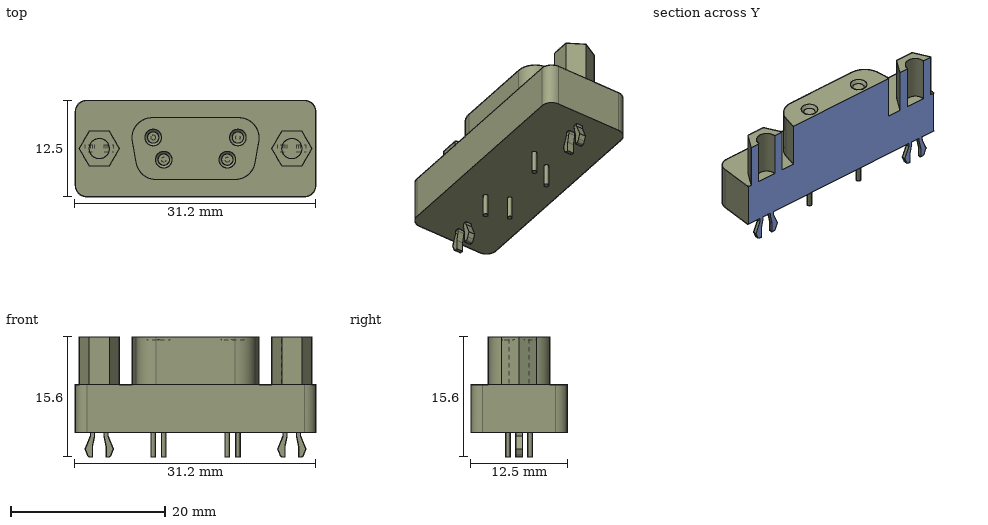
import cadquery as cq
import math

length = 31.2
width = 12.5
flange_height = 6.25
flange_corner_radius = 1.5

shell_height = 6.18
shell_width = 16.47
shell_depth = 8.02
shell_corner_radius = 2.62
shell_side_angle = 10.0
top_z = flange_height + shell_height

rear_contact_x = 5.5
front_contact_x = 4.12
contact_row_y = 1.45
socket_mouth_diameter = 2.15
socket_diameter = 1.47
socket_depth = 0.4
pin_diameter = 0.62
leg_length = 3.18

standoff_x = 12.48
hex_across_corners = 5.2
standoff_bore_diameter = 2.62

clip_thickness = 0.9
prong_root_inner = 0.6
prong_root_outer = 1.15
prong_root_length = 0.45
prong_tip_inner = 0.87
prong_inner_bend_depth = 1.78
barb_reach = 1.85
barb_depth = 2.12
nose_start_reach = 1.55
nose_start_depth = 2.8
nose_bulge_reach = 1.45
nose_bulge_depth = 3.05
nose_end_reach = 1.2

contact_points = [
    (side * x, y)
    for x, y in ((rear_contact_x, contact_row_y), (front_contact_x, -contact_row_y))
    for side in (-1, 1)
]
standoff_points = [(-standoff_x, 0), (standoff_x, 0)]


def make_flange():
    block = cq.Workplane("XY").box(length, width, flange_height, centered=(True, True, False))
    return block.edges("|Z").fillet(flange_corner_radius)


def make_shell():
    angle = math.radians(shell_side_angle)
    rear_y = shell_depth / 2
    rear_centre_x = shell_width / 2 - shell_corner_radius
    rear_centre_y = rear_y - shell_corner_radius
    side_x = rear_centre_x + shell_corner_radius / math.cos(angle)
    rear_x = side_x + (rear_y - rear_centre_y) * math.tan(angle)
    front_x = side_x - (rear_y + rear_centre_y) * math.tan(angle)
    outline = [(-rear_x, rear_y), (rear_x, rear_y), (front_x, -rear_y), (-front_x, -rear_y)]
    shell = cq.Workplane("XY", origin=(0, 0, flange_height)).polyline(outline).close()
    return shell.extrude(shell_height).edges("|Z").fillet(shell_corner_radius)


def make_socket(x, y):
    mouth = cq.Workplane("XY", origin=(x, y, top_z)).circle(socket_mouth_diameter / 2)
    return mouth.workplane(offset=-socket_depth).circle(socket_diameter / 2).loft()


def make_pins():
    return cq.Workplane("XY").pushPoints(contact_points).circle(pin_diameter / 2).extrude(-leg_length)


def make_standoffs():
    base = cq.Workplane("XY", origin=(0, 0, flange_height)).pushPoints(standoff_points)
    hexes = base.polygon(6, hex_across_corners).extrude(shell_height)
    bores = base.circle(standoff_bore_diameter / 2).extrude(shell_height)
    return hexes.cut(bores)


def make_prong(clip_x, side):
    def at(reach, depth):
        return (clip_x + side * reach, -depth)

    prong = (
        cq.Workplane("XZ")
        .moveTo(*at(prong_root_inner, 0))
        .lineTo(*at(prong_root_outer, 0))
        .lineTo(*at(prong_root_outer, prong_root_length))
        .lineTo(*at(barb_reach, barb_depth))
        .lineTo(*at(nose_start_reach, nose_start_depth))
        .threePointArc(at(nose_bulge_reach, nose_bulge_depth), at(nose_end_reach, leg_length))
        .lineTo(*at(prong_tip_inner, leg_length))
        .lineTo(*at(prong_tip_inner, prong_inner_bend_depth))
        .lineTo(*at(prong_root_inner, prong_root_length))
        .close()
    )
    return prong.extrude(clip_thickness / 2, both=True)


result = make_flange().union(make_shell()).union(make_standoffs()).union(make_pins())
for contact_x, contact_y in contact_points:
    result = result.cut(make_socket(contact_x, contact_y))
for clip_x, _ in standoff_points:
    for side in (-1, 1):
        result = result.union(make_prong(clip_x, side))